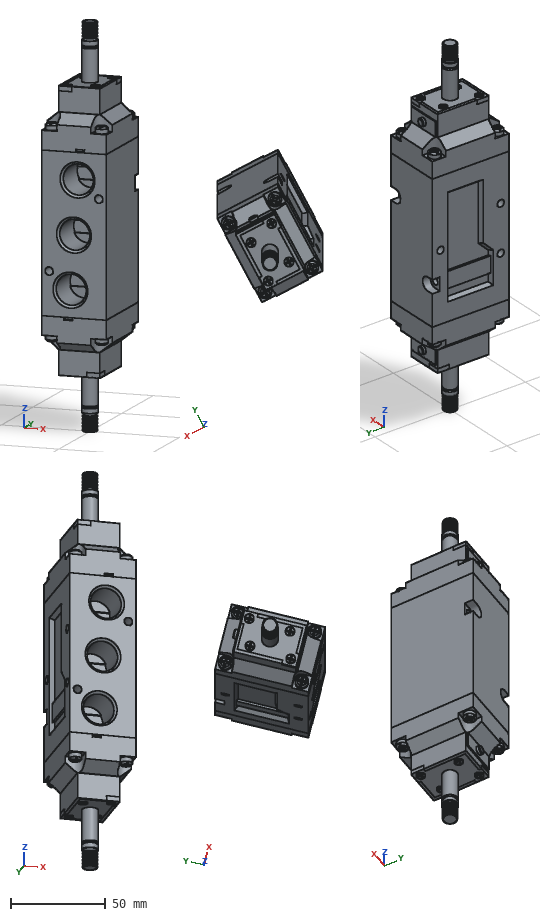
import cadquery as cq


TOTAL_LENGTH = 222.0
BODY_X = 36.5
BODY_Y = 51.0

BODY_TOP = 44.8
SCREW_SEAT = 55.5
TAPER_BOTTOM = 59.0
TAPER_TOP = 64.4
CAP_TOP = 78.4
TUBE_TOP = TOTAL_LENGTH / 2

PORT_RADIUS = 8.5
PORT_MOUTH_RADIUS = 9.8
PORT_CHAMFER = PORT_MOUTH_RADIUS - PORT_RADIUS
PORT_DEPTH = 22.2
PORT_PITCH = 30.0
PORT_STAGGER = 2.0
PORT_SLOT_PITCH = 29.0
PORT_SLOT_HEIGHT = 6.9
PORT_SLOT_DEPTH = 1.3

BOLT_X = 14.0
BOLT_Z = 20.5
BOLT_HOLE_RADIUS = 2.2
NUT_SLOT_RADIUS = 4.2
NUT_SLOT_DEPTH = 5.0

SIDE_HOLE_RADIUS = 2.2
SIDE_HOLE_DEPTH = 6.7
SIDE_HOLE_Y = 20.0
SIDE_HOLE_Z = 15.0

POCKET_TOP = 33.3
POCKET_BOTTOM = -32.9
POCKET_HALF_WIDTH = 15.0
POCKET_NARROW_Y = -8.5
POCKET_SLANT_TOP = -5.0
POCKET_SLANT_BOTTOM = -11.5
POCKET_DEPTH = 2.7
POCKET_WALL_ANGLE = 30
BAR_TOP = -15.3
BAR_BOTTOM = -25.8
BAR_HEIGHT = 1.3

DRIVER_SPAN_RATIO = 1.5

NECK_X = 23.3
NECK_Y = 34.2
TAPER_TOP_Y = 35.5
CAP_SCREW_X = 14.0
CAP_SCREW_Y = 20.9
CAP_SCREW_RADIUS = 3.5
CAP_SCREW_HEIGHT = 3.5
CAP_SCREW_CHAMFER = 1.0
CAP_SCREW_SLOT = 0.9
CAP_SCREW_SLOT_DEPTH = 1.3
SEAT_CORNER_RADIUS = 4.5
KEY_NOTCH_X = 3.3
KEY_NOTCH_WIDTH = 4.9
KEY_NOTCH_HEIGHT = 1.5
KEY_NOTCH_DEPTH = 2.2
PAD_WIDTH = 21.3
PAD_TOP = 73.7
KNOB_Z = 69.0
KNOB_RADIUS = 2.5
KNOB_CHAMFER = 0.5
KNOB_TIP_Y = 19.8

PLATE_X = 19.5
PLATE_Y = 30.9
PLATE_THICKNESS = 2.7
EAR_X = 7.3
EAR_Y = 7.8
PLATE_SCREWS = ((8.0, 13.3), (-6.5, 9.3))
PLATE_SCREW_RADIUS = 2.5
PLATE_SCREW_SINK = 0.7
PLATE_SCREW_SLOT = 0.7
PLATE_SCREW_SLOT_DEPTH = 0.9

TUBE_RADIUS = 4.5
GROOVE_RADIUS = 3.8
GROOVE_BOTTOM = 96.8
GROOVE_TOP = 98.1
COLLAR_TOP = 100.8
THREAD_RADIUS = 4.0
THREAD_ROOT_RADIUS = 3.5
THREAD_START = 101.7
THREAD_RIDGES = 5


def box_between(x_range, y_range, z_range):
    """Box given by its two limits along each axis."""
    (x0, x1), (y0, y1), (z0, z1) = x_range, y_range, z_range
    return cq.Workplane("XY").box(x1 - x0, y1 - y0, z1 - z0, centered=False).translate((x0, y0, z0))


def centred_block(size_x, size_y, bottom, top):
    """Rectangular block centred on the Z axis."""
    return cq.Workplane("XY").workplane(offset=bottom).rect(size_x, size_y).extrude(top - bottom)


def cylinder_z(x, y, radius, bottom, top):
    """Upright cylinder."""
    return cq.Workplane("XY").workplane(offset=bottom).center(x, y).circle(radius).extrude(top - bottom)


def cylinder_y(x, z, radius, start, length):
    """Cylinder that runs from y = start toward +Y."""
    return cq.Workplane("XZ", origin=(x, start, z)).circle(radius).extrude(-length)


def cross_recess(x, y, span, width, top, depth):
    """Cross-shaped driver recess that opens at the given height."""
    cross = centred_block(span, width, top - depth, top).union(centred_block(width, span, top - depth, top))
    return cross.translate((x, y, 0))


def other_end(part):
    """The same part turned half a revolution about Y, for the -Z end of the valve."""
    return part.rotate((0, 0, 0), (0, 1, 0), 180)



def port(step):
    """Chamfered blind port with a flat slot across its floor; step is -1, 0 or 1 along Z."""
    x = step * PORT_STAGGER
    z = step * PORT_PITCH
    front = -BODY_Y / 2
    floor = front + PORT_DEPTH
    bore = cylinder_y(x, z, PORT_RADIUS, front, PORT_DEPTH)
    mouth = cq.Workplane(
        cq.Solid.makeCone(
            PORT_MOUTH_RADIUS, PORT_RADIUS, PORT_CHAMFER, cq.Vector(x, front, z), cq.Vector(0, 1, 0)
        )
    )
    slot_z = step * PORT_SLOT_PITCH
    slot_band = box_between(
        (x - PORT_RADIUS, x + PORT_RADIUS),
        (floor, floor + PORT_SLOT_DEPTH),
        (slot_z - PORT_SLOT_HEIGHT / 2, slot_z + PORT_SLOT_HEIGHT / 2),
    )
    slot = cylinder_y(x, z, PORT_RADIUS, floor, PORT_SLOT_DEPTH).intersect(slot_band)
    return bore.union(mouth).union(slot)


def bolt_hole(side):
    """Through hole along Y with a nut slot that opens at the back and at the X face on this side."""
    x = side * BOLT_X
    z = side * BOLT_Z
    back = BODY_Y / 2
    hole = cylinder_y(x, z, BOLT_HOLE_RADIUS, -back, BODY_Y)
    slot_end = cylinder_y(x, z, NUT_SLOT_RADIUS, back - NUT_SLOT_DEPTH, NUT_SLOT_DEPTH)
    slot_run = box_between(
        sorted((x, side * BODY_X / 2)),
        (back - NUT_SLOT_DEPTH, back),
        (z - NUT_SLOT_RADIUS, z + NUT_SLOT_RADIUS),
    )
    return hole.union(slot_end).union(slot_run)


def side_pocket():
    """Shallow pocket with sloping walls and a raised bar across its floor."""
    left_face = -BODY_X / 2
    outline = [
        (POCKET_HALF_WIDTH, POCKET_TOP),
        (POCKET_NARROW_Y, POCKET_TOP),
        (POCKET_NARROW_Y, POCKET_SLANT_TOP),
        (-POCKET_HALF_WIDTH, POCKET_SLANT_BOTTOM),
        (-POCKET_HALF_WIDTH, POCKET_BOTTOM),
        (POCKET_HALF_WIDTH, POCKET_BOTTOM),
    ]
    pocket = (
        cq.Workplane("YZ", origin=(left_face, 0, 0))
        .polyline(outline)
        .close()
        .extrude(POCKET_DEPTH, taper=POCKET_WALL_ANGLE)
    )
    floor = left_face + POCKET_DEPTH
    bar = box_between(
        (floor - BAR_HEIGHT, floor),
        (-POCKET_HALF_WIDTH, POCKET_HALF_WIDTH),
        (BAR_BOTTOM, BAR_TOP),
    )
    return pocket.cut(bar)


def side_holes():
    """Three blind holes in the -X face."""
    return (
        cq.Workplane("YZ", origin=(-BODY_X / 2, 0, 0))
        .pushPoints([(SIDE_HOLE_Y, 0), (-SIDE_HOLE_Y, SIDE_HOLE_Z), (-SIDE_HOLE_Y, -SIDE_HOLE_Z)])
        .circle(SIDE_HOLE_RADIUS)
        .extrude(SIDE_HOLE_DEPTH)
    )


def make_valve_body():
    body = centred_block(BODY_X, BODY_Y, -BODY_TOP, BODY_TOP)
    for step in (-1, 0, 1):
        body = body.cut(port(step))
    for side in (-1, 1):
        body = body.cut(bolt_hole(side))
    return body.cut(side_pocket()).cut(side_holes())



def solenoid_plate():
    """Flush plate with two diagonal ears that reach the corners of the cap neck."""
    bottom = CAP_TOP - PLATE_THICKNESS
    plate = centred_block(PLATE_X, PLATE_Y, bottom, CAP_TOP)
    for side in (-1, 1):
        ear = centred_block(EAR_X, EAR_Y, bottom, CAP_TOP)
        plate = plate.union(ear.translate((side * (NECK_X - EAR_X) / 2, side * (NECK_Y - EAR_Y) / 2, 0)))
    return plate


def cap_screw_seat(x_side, y_side):
    """Corner cut-out with a rounded inner edge that clears one cap screw."""
    inner_x = CAP_SCREW_X - SEAT_CORNER_RADIUS
    inner_y = CAP_SCREW_Y - SEAT_CORNER_RADIUS
    seat = box_between(
        sorted((x_side * inner_x, x_side * BODY_X / 2)),
        sorted((y_side * inner_y, y_side * BODY_Y / 2)),
        (SCREW_SEAT, TAPER_TOP),
    )
    nearest_corner = cq.selectors.NearestToPointSelector(
        (x_side * inner_x, y_side * inner_y, (SCREW_SEAT + TAPER_TOP) / 2)
    )
    return seat.edges(nearest_corner).fillet(SEAT_CORNER_RADIUS)


def cap_screw_head(x, y):
    """Chamfered round screw head with a cross recess, standing on its seat."""
    top = SCREW_SEAT + CAP_SCREW_HEIGHT
    head = cylinder_z(x, y, CAP_SCREW_RADIUS, SCREW_SEAT, top)
    head = head.faces(">Z").chamfer(CAP_SCREW_CHAMFER)
    span = DRIVER_SPAN_RATIO * CAP_SCREW_RADIUS
    recess = cross_recess(x, y, span, CAP_SCREW_SLOT, top, CAP_SCREW_SLOT_DEPTH)
    return head.cut(recess)


def key_notch():
    """Small notch in the front lower edge of the cap."""
    front = -BODY_Y / 2
    return box_between(
        (KEY_NOTCH_X - KEY_NOTCH_WIDTH / 2, KEY_NOTCH_X + KEY_NOTCH_WIDTH / 2),
        (front, front + KEY_NOTCH_DEPTH),
        (BODY_TOP, BODY_TOP + KEY_NOTCH_HEIGHT),
    )


def manual_override():
    """Pad on the +Y face of the neck with a chamfered round knob."""
    pad = box_between(
        (-PAD_WIDTH / 2, PAD_WIDTH / 2), (NECK_Y / 2, TAPER_TOP_Y / 2), (TAPER_TOP, PAD_TOP)
    )
    knob = cylinder_y(0, KNOB_Z, KNOB_RADIUS, NECK_Y / 2, KNOB_TIP_Y - NECK_Y / 2)
    knob = knob.faces(">Y").chamfer(KNOB_CHAMFER)
    return pad.union(knob)


def make_end_cap():
    base = centred_block(BODY_X, BODY_Y, BODY_TOP, TAPER_BOTTOM)
    taper = (
        cq.Workplane("XY")
        .workplane(offset=TAPER_BOTTOM)
        .rect(BODY_X, BODY_Y)
        .workplane(offset=TAPER_TOP - TAPER_BOTTOM)
        .rect(NECK_X, TAPER_TOP_Y)
        .loft(ruled=True)
    )
    neck = centred_block(NECK_X, NECK_Y, TAPER_TOP, CAP_TOP)
    cap = base.union(taper).union(neck).union(manual_override())
    for x_side in (-1, 1):
        for y_side in (-1, 1):
            cap = cap.cut(cap_screw_seat(x_side, y_side))
            cap = cap.union(cap_screw_head(x_side * CAP_SCREW_X, y_side * CAP_SCREW_Y))
    return cap.cut(key_notch()).cut(solenoid_plate())



def armature_tube():
    """Turned tube with a V-groove, a collar and a threaded tip."""
    pitch = (TUBE_TOP - THREAD_START) / THREAD_RIDGES
    profile = [
        (0, CAP_TOP),
        (TUBE_RADIUS, CAP_TOP),
        (TUBE_RADIUS, GROOVE_BOTTOM),
        (GROOVE_RADIUS, (GROOVE_BOTTOM + GROOVE_TOP) / 2),
        (TUBE_RADIUS, GROOVE_TOP),
        (TUBE_RADIUS, COLLAR_TOP),
        (THREAD_ROOT_RADIUS, COLLAR_TOP),
        (THREAD_ROOT_RADIUS, THREAD_START),
    ]
    for ridge in range(THREAD_RIDGES):
        ridge_bottom = THREAD_START + ridge * pitch
        profile.append((THREAD_ROOT_RADIUS, ridge_bottom + pitch / 4))
        profile.append((THREAD_RADIUS, ridge_bottom + pitch / 2))
        profile.append((THREAD_RADIUS, ridge_bottom + 3 * pitch / 4))
        profile.append((THREAD_ROOT_RADIUS, ridge_bottom + pitch))
    profile.append((0, TUBE_TOP))
    return cq.Workplane("XZ").polyline(profile).close().revolve(360, (0, 0, 0), (0, 1, 0))


def plate_screw(x, y):
    """Sunk screw head with a cross recess, as a cut."""
    seat = CAP_TOP - PLATE_SCREW_SINK
    sink = cylinder_z(x, y, PLATE_SCREW_RADIUS, seat, CAP_TOP)
    span = DRIVER_SPAN_RATIO * PLATE_SCREW_RADIUS
    return sink.union(cross_recess(x, y, span, PLATE_SCREW_SLOT, seat, PLATE_SCREW_SLOT_DEPTH))


def make_solenoid():
    solenoid = solenoid_plate().union(armature_tube())
    for x, y in PLATE_SCREWS:
        for side in (-1, 1):
            solenoid = solenoid.cut(plate_screw(side * x, side * y))
    return solenoid


valve_body = make_valve_body()
upper_cap = make_end_cap()
upper_solenoid = make_solenoid()
end_caps = [upper_cap, other_end(upper_cap)]
solenoids = [upper_solenoid, other_end(upper_solenoid)]

result = cq.Compound.makeCompound([part.val() for part in [valve_body, *end_caps, *solenoids]])